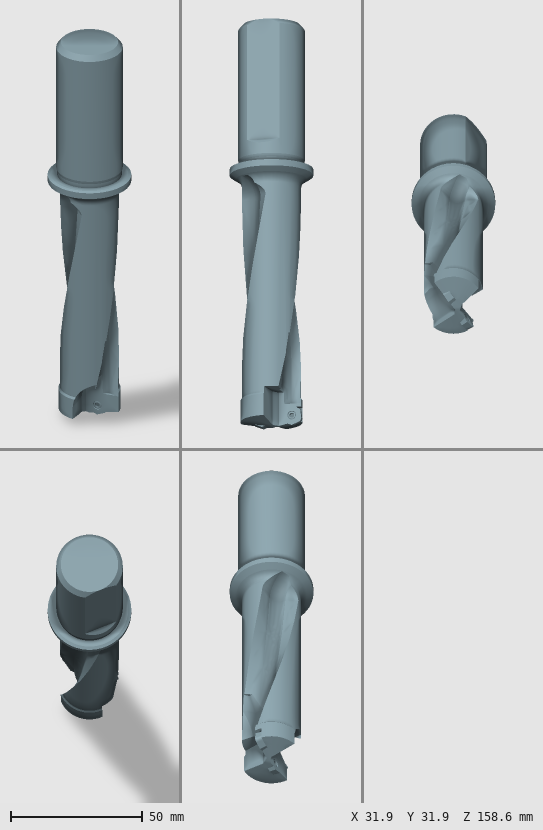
import cadquery as cq
import math

TOTAL_LENGTH = 158.62

SHANK_DIA = 25.4
SHANK_LENGTH = 53.3
SHANK_END_DIA = 21.86
SHANK_END_CHAMFER_LENGTH = 2.1
SHANK_FLAT_Y = SHANK_END_DIA / 2
SHANK_FLAT_LENGTH = 47.2
SHANK_FOOT_CHAMFER_LENGTH = 1.2

NECK_DIA = 24.69
FLANGE_DIA = 31.9
FLANGE_TOP_Z = 102.4
FLANGE_THICKNESS = 2.8
FLANGE_CHAMFER_WIDTH = 1.2
FLANGE_CHAMFER_HEIGHT = 0.35
FLANGE_BEVEL_DIA = 27.0
FLANGE_BEVEL_HEIGHT = 1.6
FLANGE_BLEND_BULGE = 0.45

BODY_DIA = 22.6
BODY_TOP_Z = 94.6
TIP_DIA = 23.7
TIP_TOP_Z = 11.0
TIP_CHAMFER_LENGTH = 0.8
TIP_CONE_LOW_Z = 0.3
TIP_CONE_HIGH_Z = 2.6

FLUTE_TOP_Z = 89.7
FLUTE_BOTTOM_Z = 9.3
FLUTE_SECTIONS = 7
FLUTE_CLOSING_RADIUS = 12.4
FLUTE_SIDE_OVERRUN = 1.2
FLOOR_EDGE_TOP_AZ = 191.8
FLOOR_EDGE_TWIST = 0.70
WALL_EDGE_TOP_AZ = 274.6
WALL_EDGE_TWIST = 0.93
FLOOR_END_RADIUS = 6.1
FLOOR_END_TOP_AZ = 203.5
CORNER_RADIUS = 4.9
CORNER_TOP_AZ = 230.0
WALL_END_RADIUS = 7.7
WALL_END_TOP_AZ = 253.5
CORNER_TWIST = 0.53
TWIST_GAIN = 0.0033
RUNOUT_AZ = 245.0
RUNOUT_AXIS_RADIUS = 12.7

GULLET_BOTTOM_Z = FLUTE_BOTTOM_Z
GULLET_TOP_Z = 28.0
GULLET_OUTLINE = [(-15.0, 0.5), (-5.0, 0.5), (-4.5, 4.4), (-15.0, 15.0)]
GULLET_RUNOUT_HEIGHT = 7.6
GULLET_RUNOUT_SHIFT = 3.0
GULLET_RUNOUT_AZ = 160.0

POCKET_REACH = 15.0

CENTRAL_FLOOR_Y = 0.0
CENTRAL_WALL_X = -2.6
CENTRAL_CHAMFER_X = 1.1
CENTRAL_CHAMFER_Y = 1.5
CENTRAL_TOP_X = 5.9
CENTRAL_STRAIGHT_Z = 7.5
CENTRAL_TOP_Z = 17.6
CENTRAL_ARC_MID = (0.0, 14.1)

OUTER_FLOOR_Y = 0.36
OUTER_FLOOR_END_X = -3.0
OUTER_WALL_LOW_X = -1.2
OUTER_WALL_LOW_Y = 3.0
OUTER_WALL_HIGH_X = 0.0
OUTER_TOP_Z = 14.0

INSERT_BLUNT_RADIUS = 3.9
INSERT_CORNER_RADIUS = 4.6
INSERT_NOSE_RADIUS = 1.6
INSERT_THICKNESS = 2.6
INSERT_RELIEF_ANGLE = 7.0
CENTRAL_INSERT_X = 3.1
CENTRAL_INSERT_Z = INSERT_BLUNT_RADIUS
OUTER_INSERT_X = -8.1
OUTER_INSERT_Z = INSERT_BLUNT_RADIUS + 0.9
OUTER_CLEARANCE_TOP_Z = 8.0

COUNTERSINK_DIA = 3.4
SCREW_HEAD_DIA = 3.05
SCREW_HEAD_TOP_DIA = 2.6
SCREW_SHANK_DIA = 2.2
SCREW_SOCKET_DIA = 1.9
COUNTERSINK_DEPTH = 1.2
SCREW_SOCKET_DEPTH = 1.0
SCREW_LENGTH = 5.5
SCREW_TOP_CHAMFER = 0.15


def polar(radius, azimuth, z):
    """Point or offset from cylindrical coordinates, azimuth in degrees."""
    angle = math.radians(azimuth)
    return cq.Vector(radius * math.cos(angle), radius * math.sin(angle), z)


def make_blank():
    """Turned shape of shank, neck, flange and body."""
    shank_r = SHANK_DIA / 2
    neck_r = NECK_DIA / 2
    flange_r = FLANGE_DIA / 2
    bevel_r = FLANGE_BEVEL_DIA / 2
    body_r = BODY_DIA / 2
    tip_r = TIP_DIA / 2
    shank_foot_z = TOTAL_LENGTH - SHANK_LENGTH
    flange_low_z = FLANGE_TOP_Z - FLANGE_THICKNESS
    bevel_low_z = flange_low_z - FLANGE_BEVEL_HEIGHT
    blend_mid = (
        (bevel_r + body_r) / 2 - FLANGE_BLEND_BULGE,
        (bevel_low_z + BODY_TOP_Z) / 2 + FLANGE_BLEND_BULGE,
    )
    return (
        cq.Workplane("XZ")
        .moveTo(0, TIP_CONE_LOW_Z)
        .lineTo(tip_r, TIP_CONE_HIGH_Z)
        .lineTo(tip_r, TIP_TOP_Z)
        .lineTo(body_r, TIP_TOP_Z + TIP_CHAMFER_LENGTH)
        .lineTo(body_r, BODY_TOP_Z)
        .threePointArc(blend_mid, (bevel_r, bevel_low_z))
        .lineTo(flange_r, flange_low_z)
        .lineTo(flange_r, FLANGE_TOP_Z - FLANGE_CHAMFER_HEIGHT)
        .lineTo(flange_r - FLANGE_CHAMFER_WIDTH, FLANGE_TOP_Z)
        .lineTo(neck_r, FLANGE_TOP_Z)
        .lineTo(neck_r, shank_foot_z - SHANK_FOOT_CHAMFER_LENGTH)
        .lineTo(shank_r, shank_foot_z)
        .lineTo(shank_r, TOTAL_LENGTH - SHANK_END_CHAMFER_LENGTH)
        .lineTo(SHANK_END_DIA / 2, TOTAL_LENGTH)
        .lineTo(0, TOTAL_LENGTH)
        .close()
        .revolve(360, (0, 0, 0), (0, 1, 0))
    )


def make_shank_flat():
    """Cutter for the flat on the +Y side, with a 45 degree run-out at its foot."""
    foot_z = TOTAL_LENGTH - SHANK_FLAT_LENGTH
    depth = SHANK_DIA / 2
    return (
        cq.Workplane("YZ")
        .moveTo(SHANK_FLAT_Y, TOTAL_LENGTH)
        .lineTo(SHANK_FLAT_Y, foot_z)
        .lineTo(SHANK_FLAT_Y + depth, foot_z - depth)
        .lineTo(SHANK_FLAT_Y + depth, TOTAL_LENGTH)
        .close()
        .extrude(SHANK_DIA / 2, both=True)
    )


def flute_section(z):
    """Closed flute outline at height z: floor, rounded corner, wall and an outer closing arc."""
    drop = FLUTE_TOP_Z - z
    extra_turn = TWIST_GAIN * drop ** 2
    corner_turn = CORNER_TWIST * drop + extra_turn
    floor_az = FLOOR_EDGE_TOP_AZ - FLOOR_EDGE_TWIST * drop - extra_turn
    wall_az = WALL_EDGE_TOP_AZ - WALL_EDGE_TWIST * drop - extra_turn
    floor_edge = polar(BODY_DIA / 2, floor_az, z)
    floor_end = polar(FLOOR_END_RADIUS, FLOOR_END_TOP_AZ - corner_turn, z)
    corner = polar(CORNER_RADIUS, CORNER_TOP_AZ - corner_turn, z)
    wall_end = polar(WALL_END_RADIUS, WALL_END_TOP_AZ - corner_turn, z)
    wall_edge = polar(BODY_DIA / 2, wall_az, z)
    outer_floor = floor_end + (floor_edge - floor_end) * FLUTE_SIDE_OVERRUN
    outer_mid = polar(FLUTE_CLOSING_RADIUS, (floor_az + wall_az) / 2, z)
    outer_wall = wall_end + (wall_edge - wall_end) * FLUTE_SIDE_OVERRUN
    return cq.Wire.assembleEdges([
        cq.Edge.makeLine(outer_floor, floor_end),
        cq.Edge.makeThreePointArc(floor_end, corner, wall_end),
        cq.Edge.makeLine(wall_end, outer_wall),
        cq.Edge.makeThreePointArc(outer_wall, outer_mid, outer_floor),
    ])


def make_flute():
    """Twisted flute cutter plus the rounded run-out that turns outward above it."""
    step = (FLUTE_TOP_Z - FLUTE_BOTTOM_Z) / (FLUTE_SECTIONS - 1)
    sections = [flute_section(FLUTE_BOTTOM_Z + i * step) for i in range(FLUTE_SECTIONS)]
    twisted = cq.Solid.makeLoft(sections)
    axis_start = polar(RUNOUT_AXIS_RADIUS, RUNOUT_AZ, FLUTE_TOP_Z)
    axis_end = axis_start + polar(1, RUNOUT_AZ + 90, 0)
    runout = cq.Solid.revolve(flute_section(FLUTE_TOP_Z), [], 90, axis_start, axis_end)
    return cq.Workplane(twisted), cq.Workplane(runout)


def make_gullet():
    """Straight gullet cutter plus the sloped run-out above it."""
    outline = cq.Workplane("XY").workplane(offset=GULLET_BOTTOM_Z).polyline(GULLET_OUTLINE).close()
    straight = outline.extrude(GULLET_TOP_Z - GULLET_BOTTOM_Z)
    runout_path = polar(GULLET_RUNOUT_SHIFT, GULLET_RUNOUT_AZ, GULLET_RUNOUT_HEIGHT)
    top_outline = [cq.Vector(x, y, GULLET_TOP_Z) for x, y in GULLET_OUTLINE]
    top_wire = cq.Wire.makePolygon(top_outline, close=True)
    runout = cq.Solid.extrudeLinear(top_wire, [], runout_path)
    return straight, cq.Workplane(runout)


def make_central_pocket():
    """Pocket with a flat floor, chamfered wall and an arched upper end."""
    plan = (
        cq.Workplane("XY")
        .moveTo(POCKET_REACH, CENTRAL_FLOOR_Y)
        .lineTo(CENTRAL_WALL_X + CENTRAL_CHAMFER_X, CENTRAL_FLOOR_Y)
        .lineTo(CENTRAL_WALL_X, CENTRAL_FLOOR_Y - CENTRAL_CHAMFER_Y)
        .lineTo(CENTRAL_WALL_X, -POCKET_REACH)
        .lineTo(POCKET_REACH, -POCKET_REACH)
        .close()
        .extrude(CENTRAL_TOP_Z)
    )
    elevation = (
        cq.Workplane("XZ")
        .moveTo(CENTRAL_WALL_X, 0)
        .lineTo(CENTRAL_WALL_X, CENTRAL_STRAIGHT_Z)
        .threePointArc(CENTRAL_ARC_MID, (CENTRAL_TOP_X, CENTRAL_TOP_Z))
        .lineTo(CENTRAL_TOP_X, GULLET_BOTTOM_Z)
        .lineTo(POCKET_REACH, GULLET_BOTTOM_Z)
        .lineTo(POCKET_REACH, 0)
        .close()
        .extrude(POCKET_REACH, both=True)
    )
    return plan.intersect(elevation)


def make_outer_pocket():
    """Pocket with a flat floor and a sloped corner up to its leaning wall."""
    return (
        cq.Workplane("XY")
        .moveTo(-POCKET_REACH, OUTER_FLOOR_Y)
        .lineTo(OUTER_FLOOR_END_X, OUTER_FLOOR_Y)
        .lineTo(OUTER_WALL_LOW_X, OUTER_WALL_LOW_Y)
        .lineTo(OUTER_WALL_HIGH_X, POCKET_REACH)
        .lineTo(-POCKET_REACH, POCKET_REACH)
        .close()
        .extrude(OUTER_TOP_Z)
    )


def make_outer_flank_clearance():
    """Slot behind the outer insert that leaves its -X flank free."""
    low_y = OUTER_FLOOR_Y - INSERT_THICKNESS
    return (
        cq.Workplane("XY")
        .moveTo(-POCKET_REACH, low_y)
        .lineTo(OUTER_INSERT_X, low_y)
        .lineTo(OUTER_INSERT_X, OUTER_FLOOR_Y)
        .lineTo(-POCKET_REACH, OUTER_FLOOR_Y)
        .close()
        .extrude(OUTER_CLEARANCE_TOP_Z)
    )


def make_insert_blank():
    """Trigon plate with its rake face on Y = 0 and one blunt vertex pointing to -Z."""
    outline = []
    for i in range(6):
        radius = INSERT_BLUNT_RADIUS if i % 2 == 0 else INSERT_CORNER_RADIUS
        angle = math.radians(90 + 60 * i)
        outline.append((radius * math.cos(angle), radius * math.sin(angle)))
    rake_face = cq.Workplane("XY").polyline(outline).close()
    plate = rake_face.extrude(INSERT_THICKNESS, taper=INSERT_RELIEF_ANGLE)
    for nose in outline[1::2]:
        edge = cq.selectors.NearestToPointSelector((*nose, INSERT_THICKNESS / 2))
        plate = plate.edges(edge).fillet(INSERT_NOSE_RADIUS)
    return plate.rotate((0, 0, 0), (1, 0, 0), -90)


def make_screw_space():
    """Countersunk hole for an insert screw, opening at Y = 0 and running along +Y."""
    return (
        cq.Workplane("XY")
        .lineTo(COUNTERSINK_DIA / 2, 0)
        .lineTo(SCREW_SHANK_DIA / 2, COUNTERSINK_DEPTH)
        .lineTo(SCREW_SHANK_DIA / 2, SCREW_LENGTH)
        .lineTo(0, SCREW_LENGTH)
        .close()
        .revolve(360, (0, 0, 0), (0, 1, 0))
    )


def make_screw():
    """Countersunk screw along +Y, head slightly sunk below Y = 0, with a round socket."""
    head_share = (COUNTERSINK_DIA - SCREW_HEAD_DIA) / (COUNTERSINK_DIA - SCREW_SHANK_DIA)
    head_y = head_share * COUNTERSINK_DEPTH
    top_y = head_y - SCREW_TOP_CHAMFER
    socket_y = top_y + SCREW_SOCKET_DEPTH
    return (
        cq.Workplane("XY")
        .moveTo(0, socket_y)
        .lineTo(SCREW_SOCKET_DIA / 2, socket_y)
        .lineTo(SCREW_SOCKET_DIA / 2, top_y)
        .lineTo(SCREW_HEAD_TOP_DIA / 2, top_y)
        .lineTo(SCREW_HEAD_DIA / 2, head_y)
        .lineTo(SCREW_SHANK_DIA / 2, COUNTERSINK_DEPTH)
        .lineTo(SCREW_SHANK_DIA / 2, SCREW_LENGTH)
        .lineTo(0, SCREW_LENGTH)
        .close()
        .revolve(360, (0, 0, 0), (0, 1, 0))
    )


def place_central(shape):
    """Move a part from the insert origin to the central seat, facing -Y."""
    return shape.translate((CENTRAL_INSERT_X, CENTRAL_FLOOR_Y, CENTRAL_INSERT_Z))


def place_outer(shape):
    """Turn a part to face +Y and move it to the outer seat."""
    turned = shape.rotate((0, 0, 0), (0, 0, 1), 180)
    return turned.translate((OUTER_INSERT_X, OUTER_FLOOR_Y, OUTER_INSERT_Z))


insert_blank = make_insert_blank()
screw_space = make_screw_space()

holder = make_blank().cut(make_shank_flat())
for chip_cutter in make_flute() + make_gullet():
    holder = holder.cut(chip_cutter)
    holder = holder.cut(chip_cutter.rotate((0, 0, 0), (0, 0, 1), 180))
holder = holder.cut(make_central_pocket()).cut(make_outer_pocket()).cut(make_outer_flank_clearance())

inserts = []
screws = []
for place in (place_central, place_outer):
    holder = holder.cut(place(insert_blank)).cut(place(screw_space))
    inserts.append(place(insert_blank.cut(screw_space)))
    screws.append(place(make_screw()))

bodies = [holder] + inserts + screws
result = cq.Compound.makeCompound([body.val() for body in bodies])